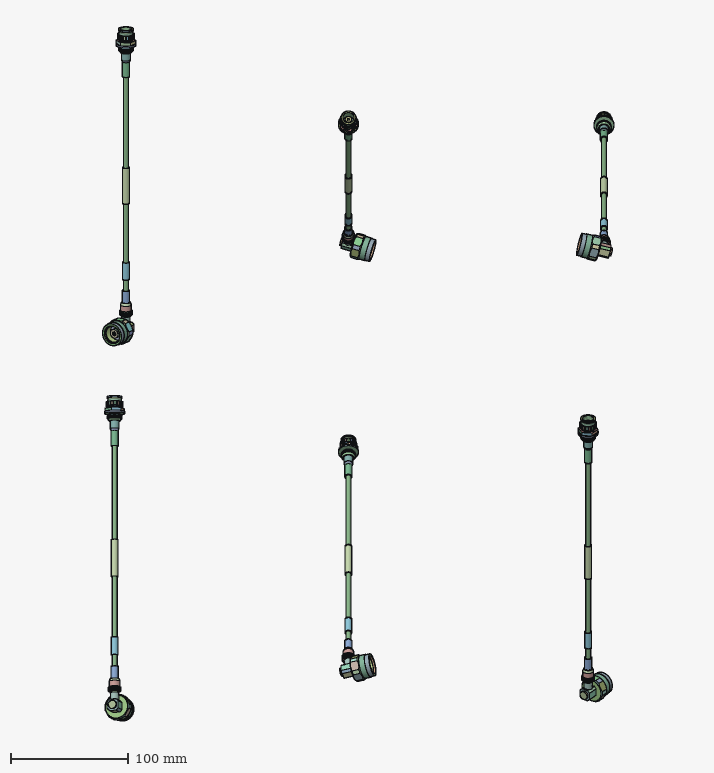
import cadquery as cq
import math


CABLE_R = 2.2
CABLE_BOTTOM = 23.4
CABLE_TOP = 238.0
SLEEVE_R = 3.0
LONG_SLEEVE_BOTTOM = 111.8
LONG_SLEEVE_LENGTH = 32.0
SHORT_SLEEVE_BOTTOM = 44.0
SHORT_SLEEVE_LENGTH = 15.3
FERRULE_DIAMETER = 6.5
FERRULE_R = FERRULE_DIAMETER / 2

ELBOW_FERRULE_TOP = 34.0
CLAMP_R = 4.7
CLAMP_MOUTH_R = 4.0
CLAMP_SHOULDER = 21.0
CLAMP_BOTTOM = 16.5
COLLAR_R = 5.5
COLLAR_TOP = 15.5
COLLAR_BOTTOM = 12.2
COLLAR_CHAMFER = 0.5
COLLAR_GROOVES = 24
NECK_R = 3.5
NECK_FLANGE_R = 4.0
NECK_FLANGE_BOTTOM = 11.0

BLOCK_HALF = 5.0
BLOCK_CHAMFER = 2.0
CAP_R = 3.5
CAP_LENGTH = 1.7

HEX_ACROSS_FLATS = 20.9
HEX_APOTHEM = HEX_ACROSS_FLATS / 2
HEX_ACROSS_CORNERS = 22.0
HEX_CORNER_REACH = HEX_ACROSS_CORNERS / 2
HEX_START = 4.7
HEX_END = 12.8
HEX_CHAMFER = 1.0
BARREL_DIAMETER = 20.3
BARREL_R = BARREL_DIAMETER / 2
BARREL_STEP = 17.8
BARREL_FRONT_R = 9.7
COUPLING_END = 21.7
MOUTH_R = 7.8
MOUTH_DEPTH = 1.7
CAVITY_R = 7.0
CAVITY_DEPTH = 8.3
CONTACT_R = 4.0
CONTACT_RECESS = 3.3
CONTACT_BORE_R = 1.7
CONTACT_BORE_DEPTH = 2.8
PIN_R = 0.8

OVERALL_LENGTH = 278
JACK_TOP = OVERALL_LENGTH - HEX_APOTHEM
RIM_R = 6.5
RIM_HEIGHT = 1.5
BARREL_NECK_R = 5.8
CONE_TOP = 265.0
CONE_R = 6.0
RING_R = 7.2
RING_TOP = 263.0
RING_BOTTOM = 258.5
RING_CHAMFER = 0.8
RING_GROOVES = 16
NUT_ACROSS_FLATS = 14.7
NUT_APOTHEM = NUT_ACROSS_FLATS / 2
NUT_TOP = 257.5
WASHER_R = 8.5
WASHER_TOP = 254.7
WASHER_BOTTOM = 253.0
GRIP_NECK_R = 4.7
GRIP_NECK_BOTTOM = 252.2
GRIP_R = 6.5
GRIP_TOP = 250.5
GRIP_SHOULDER = 248.8
GRIP_BOTTOM = 246.5
GRIP_GROOVES = 32
TAIL_R = 4.0
TAIL_BOTTOM = 240.0
TAIL_CONE_R = 3.5
JACK_FERRULE_BOTTOM = 225.0
SOCKET_R = 4.7
SOCKET_DEPTH = 8.3
POST_R = 2.8
POST_RECESS = 3.3
POST_BORE_R = 0.8

RING_GROOVE_WIDTH = 1.0
GRIP_GROOVE_WIDTH = 0.8
GROOVE_DEPTH = 0.42


def cylinder_z(radius, bottom, top):
    return cq.Workplane("XY").workplane(offset=bottom).circle(radius).extrude(top - bottom)


def cylinder_y(radius, start, end):
    """Cylinder on the coupling axis; start and end are distances along -Y."""
    return cq.Workplane("XZ").workplane(offset=start).circle(radius).extrude(end - start)


def turned_z(profile):
    """Solid of revolution about Z from (radius, height) points, closed on the axis."""
    outline = [(0, profile[0][1])] + profile + [(0, profile[-1][1])]
    return cq.Workplane("XZ").polyline(outline).close().revolve(360, (0, 0), (0, 1))


def cut_grooves(body, count, width, radius, bottom, top):
    """Straight vertical grooves around a grip ring, with a land centred on each axis."""
    step = 360 / count
    for index in range(count):
        groove = (
            cq.Workplane("XY")
            .box(2 * GROOVE_DEPTH, width, top - bottom)
            .translate((radius, 0, (top + bottom) / 2))
            .rotate((0, 0, 0), (0, 0, 1), (index + 0.5) * step)
        )
        body = body.cut(groove)
    return body


def make_cable():
    return cylinder_z(CABLE_R, CABLE_BOTTOM, CABLE_TOP)


def make_sleeve(bottom, length):
    return cylinder_z(SLEEVE_R, bottom, bottom + length).cut(cylinder_z(CABLE_R, bottom, bottom + length))


def make_elbow_stem():
    stem = turned_z([
        (FERRULE_R, ELBOW_FERRULE_TOP),
        (FERRULE_R, CABLE_BOTTOM),
        (CLAMP_MOUTH_R, CABLE_BOTTOM),
        (CLAMP_R, CLAMP_SHOULDER),
        (CLAMP_R, CLAMP_BOTTOM),
        (COLLAR_R, COLLAR_TOP),
        (COLLAR_R, COLLAR_BOTTOM + COLLAR_CHAMFER),
        (COLLAR_R - COLLAR_CHAMFER, COLLAR_BOTTOM),
        (NECK_FLANGE_R, COLLAR_BOTTOM),
        (NECK_FLANGE_R, NECK_FLANGE_BOTTOM),
        (NECK_R, NECK_FLANGE_BOTTOM),
        (NECK_R, 0),
    ])
    groove_bottom = COLLAR_BOTTOM + COLLAR_CHAMFER
    return cut_grooves(stem, COLLAR_GROOVES, GRIP_GROOVE_WIDTH, COLLAR_R, groove_bottom, COLLAR_TOP)


def make_elbow_block():
    block = (
        cq.Workplane("XZ")
        .rect(2 * BLOCK_HALF, 2 * BLOCK_HALF)
        .extrude(BLOCK_HALF, both=True)
        .edges("|Y")
        .chamfer(BLOCK_CHAMFER)
    )
    return block.union(cylinder_y(CAP_R, -BLOCK_HALF - CAP_LENGTH, 0))


def make_coupling_hex():
    """Hexagon with flats at +-Z, its six corners cut flat and both ends chamfered."""
    def prism(apothem):
        diameter = 2 * apothem / math.cos(math.pi / 6)
        outline = cq.Workplane("XZ").workplane(offset=HEX_START).polygon(6, diameter)
        return outline.extrude(HEX_END - HEX_START)

    corner_cut = prism(HEX_CORNER_REACH).rotate((0, 0, 0), (0, 1, 0), 30)
    corner_r = math.hypot(HEX_CORNER_REACH, 2 * HEX_APOTHEM - math.sqrt(3) * HEX_CORNER_REACH)
    end_cones = cylinder_y(corner_r, HEX_START, HEX_END).edges().chamfer(HEX_CHAMFER)
    return prism(HEX_APOTHEM).intersect(corner_cut).intersect(end_cones)


def make_coupling():
    coupling = make_coupling_hex()
    coupling = coupling.union(cylinder_y(BARREL_R, HEX_END, BARREL_STEP))
    coupling = coupling.union(cylinder_y(BARREL_FRONT_R, BARREL_STEP, COUPLING_END))
    coupling = coupling.cut(cylinder_y(MOUTH_R, COUPLING_END - MOUTH_DEPTH, COUPLING_END))
    cavity_floor = COUPLING_END - CAVITY_DEPTH
    coupling = coupling.cut(cylinder_y(CAVITY_R, cavity_floor, COUPLING_END))
    contact_end = COUPLING_END - CONTACT_RECESS
    bore_floor = contact_end - CONTACT_BORE_DEPTH
    coupling = coupling.union(cylinder_y(CONTACT_R, cavity_floor, contact_end))
    coupling = coupling.cut(cylinder_y(CONTACT_BORE_R, bore_floor, contact_end))
    return coupling.union(cylinder_y(PIN_R, bore_floor, contact_end))


def make_elbow_connector():
    connector = make_elbow_stem().union(make_elbow_block()).union(make_coupling())
    return connector.cut(cylinder_z(CABLE_R, CABLE_BOTTOM, ELBOW_FERRULE_TOP))


def make_jack_shell():
    rim_bottom = JACK_TOP - RIM_HEIGHT
    shell = turned_z([
        (RIM_R, JACK_TOP),
        (RIM_R, rim_bottom),
        (BARREL_NECK_R, rim_bottom),
        (BARREL_NECK_R, CONE_TOP),
        (CONE_R, RING_TOP),
        (RING_R, RING_TOP),
        (RING_R, RING_BOTTOM + RING_CHAMFER),
        (RING_R - RING_CHAMFER, RING_BOTTOM),
        (BARREL_NECK_R, RING_BOTTOM),
        (BARREL_NECK_R, WASHER_TOP),
        (WASHER_R, WASHER_TOP),
        (WASHER_R, WASHER_BOTTOM),
        (GRIP_NECK_R, WASHER_BOTTOM),
        (GRIP_NECK_R, GRIP_NECK_BOTTOM),
        (GRIP_R, GRIP_TOP),
        (GRIP_R, GRIP_SHOULDER),
        (GRIP_NECK_R, GRIP_BOTTOM),
        (TAIL_R, GRIP_BOTTOM),
        (TAIL_R, TAIL_BOTTOM),
        (TAIL_CONE_R, TAIL_BOTTOM),
        (FERRULE_R, CABLE_TOP),
        (FERRULE_R, JACK_FERRULE_BOTTOM),
    ])
    ring_bottom = RING_BOTTOM + RING_CHAMFER
    shell = cut_grooves(shell, RING_GROOVES, RING_GROOVE_WIDTH, RING_R, ring_bottom, RING_TOP)
    return cut_grooves(shell, GRIP_GROOVES, GRIP_GROOVE_WIDTH, GRIP_R, GRIP_BOTTOM, GRIP_NECK_BOTTOM)


def make_jack_nut():
    """Hexagon nut on the washer, with two corners on the Y axis."""
    diameter = 2 * NUT_APOTHEM / math.cos(math.pi / 6)
    nut = cq.Workplane("XY").polygon(6, diameter).extrude(NUT_TOP - WASHER_TOP)
    return nut.rotate((0, 0, 0), (0, 0, 1), 30).translate((0, 0, WASHER_TOP))


def make_jack_socket():
    """Space to remove from the open end: an annulus around a hollow post."""
    floor = JACK_TOP - SOCKET_DEPTH
    post = cylinder_z(POST_R, floor, JACK_TOP - POST_RECESS)
    return cylinder_z(SOCKET_R, floor, JACK_TOP).cut(post).union(cylinder_z(POST_BORE_R, floor, JACK_TOP))


def make_jack_connector():
    connector = make_jack_shell().union(make_jack_nut()).cut(make_jack_socket())
    return connector.cut(cylinder_z(CABLE_R, JACK_FERRULE_BOTTOM, CABLE_TOP))


cable = make_cable()
long_sleeve = make_sleeve(LONG_SLEEVE_BOTTOM, LONG_SLEEVE_LENGTH)
short_sleeve = make_sleeve(SHORT_SLEEVE_BOTTOM, SHORT_SLEEVE_LENGTH)
elbow_connector = make_elbow_connector()
jack_connector = make_jack_connector()

result = cq.Compound.makeCompound([
    cable.val(),
    long_sleeve.val(),
    short_sleeve.val(),
    elbow_connector.val(),
    jack_connector.val(),
])